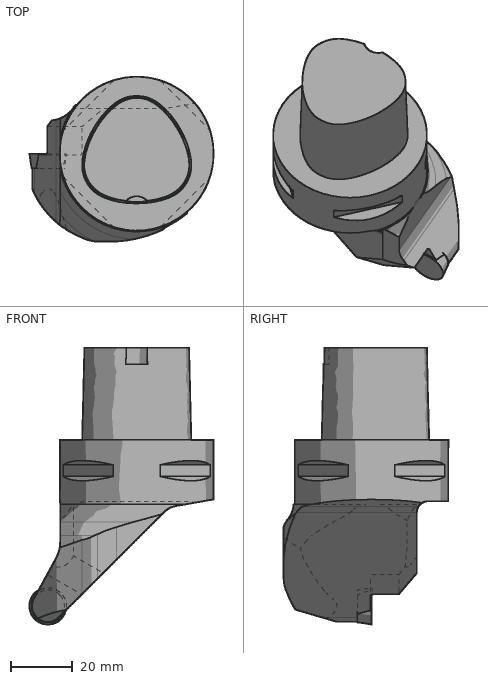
import cadquery as cq
import math


SHANK_HEIGHT = 30.0
SHANK_RADIUS = 17.6
SHANK_TAPER = 0.7
LOBE = 1.3
LOBE_FLATTENING = -0.135
SHANK_POINTS = 36
KEY_RADIUS = 4.7
KEY_DEPTH = 5.4
KEY_CENTER_Y = -18.5

SKIRT_TOP_RADIUS = 25.4
SKIRT_COVE_MIDDLE = (26.1, -23.9)
SKIRT_COVE_END = (27.8, -26.5)
SKIRT_CONE_END = (31.7, -31.0)
SKIRT_RIM = (36.9, -39.5)
BLANK_BOTTOM = -63.0

COLLAR_RADIUS = 50.0 / 2
COLLAR_BOTTOM = -20.9
GROOVE_Z = -10.0
GROOVE_FLOOR_DISTANCE = 22.2
GROOVE_FLOOR_HEIGHT = 3.7
GROOVE_MOUTH_HEIGHT = 6.6
GROOVE_COUNT = 4

INSERT_RADIUS = 6.0
INSERT_BASE_RADIUS = 5.3
INSERT_THICKNESS = 4.7
INSERT_X = -28.9
INSERT_Z = -54.0

FLANK_X = -24.9
FLANK_RUNOUT = 1.1
FLANK_TOP = -19.3
BEND_TOP = -33.3
BEND_RADIUS = 10.8
FLANK_ANGLE = 30
NOSE_RADIUS = 5.1
RELIEF_ANGLE = 10
RELIEF_EDGE_Z = -19.35
RELIEF_FILLET = 14.0 / 2

BACK_Y = -28.6
BACK_FLAT_START = -6.7
BACK_FLAT_END = -12.8
BACK_INNER_MIDDLE = (9.2, -24.4)
BACK_INNER_END = (24.3, -11.7)
BACK_CORNER_MIDDLE = (-15.3, -28.25)
BACK_CORNER_END = (-17.8, -27.3)
BACK_OUTER_MIDDLE = (-27.2, -21.3)
BACK_OUTER_END = (-34.1, -11.1)

SIDE_WALL_Y = 14.8
SIDE_FLOOR_Z = -20.0
SIDE_FILLET = 3.5
HOLLOW_START = (-27.2, 10.9)
HOLLOW_MIDDLE = (-22.9, 12.5)
HOLLOW_END_X = -20.6
STEP_X = -29.2
STEP_Z = -43.6
STEP_WALL_Y = -0.45
STEP_FILLET = 0.9
CHAMFER_EDGE_Y = 8.8
CHAMFER_LENGTH = 9.5
UNDERSIDE_Y = -24.7
UNDERSIDE_Z = -55.2
UNDERSIDE_ANGLE = 16.4

REACH = 54.0
FLANK_SIN = math.sin(math.radians(FLANK_ANGLE))
FLANK_COS = math.cos(math.radians(FLANK_ANGLE))


def lobed_outline(radius):
    """Points of the three-lobed curve, from its support function."""
    points = []
    for i in range(SHANK_POINTS):
        turn = 2 * math.pi * i / SHANK_POINTS
        phase = 3 * (turn - math.pi / 2)
        support = radius + LOBE * math.cos(phase) + LOBE_FLATTENING * math.cos(2 * phase)
        slope = -3 * LOBE * math.sin(phase) - 6 * LOBE_FLATTENING * math.sin(2 * phase)
        x = support * math.cos(turn) - slope * math.sin(turn)
        y = support * math.sin(turn) + slope * math.cos(turn)
        points.append((x, y))
    return points


def make_shank():
    shank = (
        cq.Workplane("XY")
        .spline(lobed_outline(SHANK_RADIUS), periodic=True).close()
        .workplane(offset=SHANK_HEIGHT)
        .spline(lobed_outline(SHANK_RADIUS - SHANK_TAPER), periodic=True).close()
        .loft(combine=True)
    )
    key = (
        cq.Workplane("XY", origin=(0, KEY_CENTER_Y, SHANK_HEIGHT - KEY_DEPTH))
        .circle(KEY_RADIUS).extrude(KEY_DEPTH + 0.9)
    )
    return shank.cut(key)


def turned_blank():
    """Collar and the flared skirt below it."""
    return (
        cq.Workplane("XZ")
        .moveTo(0, 0)
        .lineTo(COLLAR_RADIUS, 0)
        .lineTo(COLLAR_RADIUS, COLLAR_BOTTOM)
        .lineTo(SKIRT_TOP_RADIUS, COLLAR_BOTTOM)
        .threePointArc(SKIRT_COVE_MIDDLE, SKIRT_COVE_END)
        .lineTo(*SKIRT_CONE_END)
        .lineTo(*SKIRT_RIM)
        .lineTo(SKIRT_RIM[0], BLANK_BOTTOM)
        .lineTo(0, BLANK_BOTTOM)
        .close()
        .revolve(360, (0, 0, 0), (0, 1, 0))
    )


def side_profile():
    """Arm shape seen along Y: flank, bend, round nose, 45 degree underside, relief."""
    half = math.radians(FLANK_ANGLE / 2)
    bend_end_x = FLANK_X - BEND_RADIUS * (1 - FLANK_COS)
    bend_end_z = BEND_TOP - BEND_RADIUS * FLANK_SIN
    bend_mid = (
        FLANK_X - BEND_RADIUS * (1 - math.cos(half)),
        BEND_TOP - BEND_RADIUS * math.sin(half),
    )
    nose_start = (INSERT_X - NOSE_RADIUS * FLANK_COS, INSERT_Z + NOSE_RADIUS * FLANK_SIN)
    nose_mid = (INSERT_X - NOSE_RADIUS * FLANK_SIN, INSERT_Z - NOSE_RADIUS * FLANK_COS)
    diagonal = NOSE_RADIUS / math.sqrt(2)
    nose_end = (INSERT_X + diagonal, INSERT_Z - diagonal)

    relief_slope = math.tan(math.radians(RELIEF_ANGLE))
    underside_at_axis = nose_end[1] - nose_end[0]
    corner_x = (RELIEF_EDGE_Z - relief_slope * COLLAR_RADIUS - underside_at_axis) / (1 - relief_slope)
    corner_z = corner_x + underside_at_axis
    outer_z = RELIEF_EDGE_Z + relief_slope * (REACH - COLLAR_RADIUS)
    profile = (
        cq.Workplane("XZ", origin=(0, REACH, 0))
        .moveTo(-REACH, 0)
        .lineTo(-REACH, FLANK_TOP)
        .lineTo(-COLLAR_RADIUS, FLANK_TOP)
        .lineTo(FLANK_X, FLANK_TOP - FLANK_RUNOUT)
        .lineTo(FLANK_X, BEND_TOP)
        .threePointArc(bend_mid, (bend_end_x, bend_end_z))
        .lineTo(*nose_start)
        .threePointArc(nose_mid, nose_end)
        .lineTo(corner_x, corner_z)
        .lineTo(REACH, outer_z)
        .lineTo(REACH, 0)
        .close()
        .extrude(2 * REACH)
    )
    corner = cq.selectors.BoxSelector(
        (corner_x - 0.9, -REACH, corner_z - 0.9), (corner_x + 0.9, REACH, corner_z + 0.9)
    )
    return profile.edges(corner).fillet(RELIEF_FILLET)


def plan_profile():
    """Arm shape seen along Z: a flat back that rounds off towards both ends."""
    return (
        cq.Workplane("XY", origin=(0, 0, -2 * REACH))
        .moveTo(REACH, REACH)
        .lineTo(REACH, BACK_INNER_END[1])
        .lineTo(*BACK_INNER_END)
        .threePointArc(BACK_INNER_MIDDLE, (BACK_FLAT_START, BACK_Y))
        .lineTo(BACK_FLAT_END, BACK_Y)
        .threePointArc(BACK_CORNER_MIDDLE, BACK_CORNER_END)
        .threePointArc(BACK_OUTER_MIDDLE, BACK_OUTER_END)
        .lineTo(-REACH, BACK_OUTER_END[1])
        .lineTo(-REACH, REACH)
        .close()
        .extrude(2 * REACH)
    )


def side_clearance():
    """Cuts on the +Y side: filleted wall under the collar and a concave corner."""
    clearance = cq.Workplane("XY").box(2 * REACH, REACH, REACH, centered=(True, False, False))
    clearance = clearance.translate((0, SIDE_WALL_Y, SIDE_FLOOR_Z - REACH))
    clearance = clearance.edges("|X").edges("<Y and >Z").fillet(SIDE_FILLET)
    corner = (
        cq.Workplane("XY", origin=(0, 0, SIDE_FLOOR_Z - REACH))
        .moveTo(-REACH, HOLLOW_START[1])
        .lineTo(*HOLLOW_START)
        .threePointArc(HOLLOW_MIDDLE, (HOLLOW_END_X, SIDE_WALL_Y))
        .lineTo(HOLLOW_END_X, REACH)
        .lineTo(-REACH, REACH)
        .close()
        .extrude(REACH)
    )
    return clearance.union(corner)


def flank_plane():
    """Plane of the front flank: local x along +Y, local y up the flank, origin at the step."""
    return cq.Plane(
        origin=(STEP_X, 0, STEP_Z),
        xDir=(0, 1, 0),
        normal=(FLANK_COS, 0, -FLANK_SIN),
    )


def nose_step():
    """Step that clears the rake face of the insert, square to the front flank."""
    start = cq.Workplane(flank_plane()).workplane(offset=-REACH / 2)
    step = (
        start.moveTo(STEP_WALL_Y, -REACH)
        .lineTo(REACH, -REACH)
        .lineTo(REACH, 0)
        .lineTo(STEP_WALL_Y + STEP_FILLET, 0)
        .radiusArc((STEP_WALL_Y, -STEP_FILLET), -STEP_FILLET)
        .close()
        .extrude(2 * REACH)
    )
    chamfer = (
        start.moveTo(CHAMFER_EDGE_Y, 0)
        .lineTo(SIDE_WALL_Y, CHAMFER_LENGTH)
        .lineTo(SIDE_WALL_Y, 0)
        .close()
        .extrude(2 * REACH)
    )
    return step.union(chamfer)


def underside_clearance():
    """Sloped cut below the nose, rising towards -Y."""
    run = REACH * math.tan(math.radians(UNDERSIDE_ANGLE))
    return (
        cq.Workplane("YZ", origin=(-REACH, 0, 0))
        .moveTo(UNDERSIDE_Y - REACH, UNDERSIDE_Z + run)
        .lineTo(UNDERSIDE_Y + REACH, UNDERSIDE_Z - run)
        .lineTo(UNDERSIDE_Y - REACH, UNDERSIDE_Z - run)
        .close()
        .extrude(2 * REACH)
    )


def make_groove(angle):
    """Straight trapezoid groove across the collar, facing the given angle."""
    floor = GROOVE_FLOOR_HEIGHT / 2
    mouth = GROOVE_MOUTH_HEIGHT / 2
    groove = (
        cq.Workplane("XZ", origin=(0, REACH / 2, GROOVE_Z))
        .polyline([
            (GROOVE_FLOOR_DISTANCE, -floor),
            (COLLAR_RADIUS, -mouth),
            (COLLAR_RADIUS, mouth),
            (GROOVE_FLOOR_DISTANCE, floor),
        ])
        .close()
        .extrude(REACH)
    )
    return groove.rotate((0, 0, 0), (0, 0, 1), angle)


def make_insert():
    """Round insert with a tapered rim, its rake face at Y = 0."""
    return (
        cq.Workplane("XZ", origin=(INSERT_X, 0, INSERT_Z))
        .circle(INSERT_RADIUS)
        .workplane(offset=INSERT_THICKNESS)
        .circle(INSERT_BASE_RADIUS)
        .loft(combine=True)
    )


def make_holder(insert):
    body = turned_blank().intersect(side_profile()).intersect(plan_profile())
    body = body.cut(side_clearance())
    body = body.cut(nose_step())
    body = body.cut(underside_clearance())
    for i in range(GROOVE_COUNT):
        body = body.cut(make_groove(45 + i * 360 / GROOVE_COUNT))
    return body.union(make_shank()).cut(insert)


insert = make_insert()
holder = make_holder(insert)

result = cq.Compound.makeCompound([*holder.solids().vals(), insert.val()])